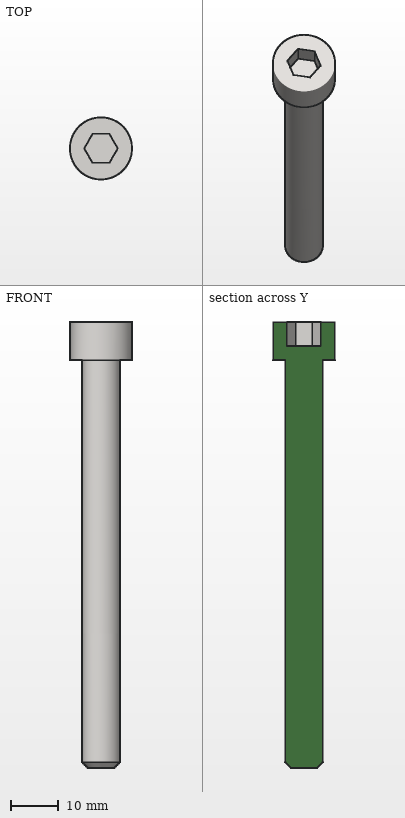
import cadquery as cq
import math

thread_diameter = 8.0
thread_pitch = 1.25
shank_length = 85.0
threaded_length = 28.0
plain_length = shank_length - threaded_length

head_diameter = 13.0
head_height = thread_diameter
head_edge_radius = 0.03

socket_across_flats = 6.05
socket_across_corners = socket_across_flats / math.cos(math.pi / 6)
socket_depth = 5.0

tip_bevel = thread_pitch


def make_head():
    """Cylindrical head with its top edge just broken and a blind hexagonal socket."""
    head = (
        cq.Workplane("XY")
        .circle(head_diameter / 2)
        .extrude(head_height)
        .faces(">Z")
        .edges()
        .fillet(head_edge_radius)
    )
    socket = (
        cq.Workplane("XY", origin=(0, 0, head_height))
        .polygon(6, socket_across_corners)
        .extrude(-socket_depth)
    )
    return head.cut(socket)


def make_plain_shank():
    return cq.Workplane("XY").circle(thread_diameter / 2).extrude(-plain_length)


def make_threaded_end():
    """Threaded length as a plain cylinder of the major diameter."""
    return (
        cq.Workplane("XY", origin=(0, 0, -plain_length))
        .circle(thread_diameter / 2)
        .extrude(-threaded_length)
        .faces("<Z")
        .edges()
        .chamfer(tip_bevel)
    )


screw = make_head().union(make_plain_shank())
result = screw.union(make_threaded_end(), clean=False)